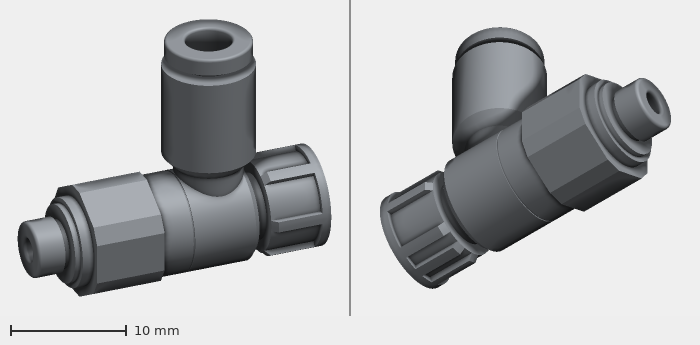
import cadquery as cq
import math


BARREL_R = 4.5
BARREL_LENGTH = 6.2
BARREL_CHAMFER = 0.5
BRANCH_R = 3.05
PORT_R = 4.1
PORT_TOP_Z = 14.8
PORT_BOTTOM_Z = 6.25
CONE_HEIGHT = 1.1
BUSHING_NECK_R = 2.4
BUSHING_NECK_HEIGHT = 0.87
BUSHING_R = 3.85
BUSHING_HEIGHT = 1.5
BUSHING_TOP_Z = PORT_TOP_Z + BUSHING_NECK_HEIGHT + BUSHING_HEIGHT
BUSHING_ROUND = 0.25
TUBE_BORE_R = 2.05

GROOVE_R = 4.4
GROOVE_WIDTH = 0.15
COLLAR_R = BARREL_R
COLLAR_LENGTH = 2.85
HEX_ACROSS_FLATS = 9.6
HEX_ACROSS_CORNERS = 10.14
HEX_LENGTH = 6.3
FLANGE_R = 4.0
FLANGE_LENGTH = 1.0
SEAL_R = 3.5
SEAL_LENGTH = 0.5
UNDERCUT_R = 2.2
UNDERCUT_LENGTH = 0.5
THREAD_R = 2.5
THREAD_LENGTH = 2.5
THREAD_BORE_R = 1.0
THREAD_ROUND = 0.3

STEM_R = 2.95
STEM_LENGTH = 1.1
KNOB_R = BARREL_R
KNOB_CORE_R = 4.0
KNOB_LENGTH = 5.4
KNOB_RIM = 0.8
KNOB_CHAMFER = 0.5
RIB_COUNT = 6
RIB_WIDTH = 1.0
RIB_ANGLES = [index * 360 / RIB_COUNT for index in range(RIB_COUNT)]
POINTER_RIB_ANGLE = 90

BARREL_FRONT_Y = -BARREL_LENGTH / 2
BARREL_BACK_Y = BARREL_LENGTH / 2


def rod(radius, start_y, length):
    """Cylinder on the Y axis that runs from start_y towards +Y."""
    return cq.Workplane("XZ", origin=(0, start_y, 0)).circle(radius).extrude(-length)


def hex_prism(across_flats, start_y, length, turn):
    """Hexagonal prism on the Y axis; with no turn, two corners lie on the X axis."""
    across_points = across_flats / math.cos(math.pi / 6)
    prism = cq.Workplane("XZ", origin=(0, start_y, 0)).polygon(6, across_points).extrude(-length)
    return prism.rotate((0, 0, 0), (0, 1, 0), turn)


def make_elbow():
    barrel = rod(BARREL_R, BARREL_FRONT_Y, BARREL_LENGTH).faces(">Y").chamfer(BARREL_CHAMFER)
    port = (
        cq.Workplane("XZ")
        .lineTo(BRANCH_R, 0)
        .lineTo(BRANCH_R, PORT_BOTTOM_Z - CONE_HEIGHT)
        .lineTo(PORT_R, PORT_BOTTOM_Z)
        .lineTo(PORT_R, PORT_TOP_Z)
        .lineTo(BUSHING_NECK_R, PORT_TOP_Z)
        .lineTo(BUSHING_NECK_R, PORT_TOP_Z + BUSHING_NECK_HEIGHT)
        .lineTo(BUSHING_R, PORT_TOP_Z + BUSHING_NECK_HEIGHT)
        .lineTo(BUSHING_R, BUSHING_TOP_Z)
        .lineTo(0, BUSHING_TOP_Z)
        .close()
        .revolve(360, (0, 0, 0), (0, 1, 0))
    )
    bore_depth = BUSHING_TOP_Z - PORT_BOTTOM_Z
    bore = cq.Workplane("XY", origin=(0, 0, PORT_BOTTOM_Z)).circle(TUBE_BORE_R).extrude(bore_depth)
    port = port.cut(bore).faces(">Z").edges().fillet(BUSHING_ROUND)
    return barrel.union(port)


def make_hex_body():
    groove_y = BARREL_FRONT_Y - GROOVE_WIDTH
    collar_y = groove_y - COLLAR_LENGTH
    hex_y = collar_y - HEX_LENGTH
    flange_y = hex_y - FLANGE_LENGTH
    seal_y = flange_y - SEAL_LENGTH
    undercut_y = seal_y - UNDERCUT_LENGTH
    thread_y = undercut_y - THREAD_LENGTH

    flats = hex_prism(HEX_ACROSS_FLATS, hex_y, HEX_LENGTH, 30)
    trimmed_corners = hex_prism(HEX_ACROSS_CORNERS, hex_y, HEX_LENGTH, 0)
    body = flats.intersect(trimmed_corners)
    body = body.union(rod(COLLAR_R, collar_y, COLLAR_LENGTH))
    body = body.union(rod(GROOVE_R, groove_y, GROOVE_WIDTH))
    body = body.union(rod(FLANGE_R, flange_y, FLANGE_LENGTH))
    body = body.union(rod(SEAL_R, seal_y, SEAL_LENGTH))
    body = body.union(rod(UNDERCUT_R, undercut_y, UNDERCUT_LENGTH))
    body = body.union(rod(THREAD_R, thread_y, THREAD_LENGTH))

    body = body.cut(rod(THREAD_BORE_R, thread_y, hex_y - thread_y))
    return body.faces("<Y").edges().fillet(THREAD_ROUND)


def make_knob():
    front_y = BARREL_BACK_Y + STEM_LENGTH
    ribbed_length = KNOB_LENGTH - KNOB_RIM
    rim = rod(KNOB_R, front_y + ribbed_length, KNOB_RIM)
    core = rod(KNOB_CORE_R, front_y, KNOB_LENGTH)

    outline = rod(KNOB_R, front_y, KNOB_LENGTH).faces("<Y").chamfer(KNOB_CHAMFER)
    bar = cq.Workplane("XY").box(KNOB_R, ribbed_length, RIB_WIDTH, centered=(False, False, True))
    bar = bar.translate((0, front_y, 0))
    knob = core.union(rim)
    for angle in RIB_ANGLES + [POINTER_RIB_ANGLE]:
        turned_bar = bar.rotate((0, 0, 0), (0, 1, 0), angle)
        knob = knob.union(outline.intersect(turned_bar))

    stem = rod(STEM_R, BARREL_BACK_Y, STEM_LENGTH)
    return knob.union(stem)


elbow = make_elbow()
hex_body = make_hex_body()
knob = make_knob()

result = cq.Compound.makeCompound([elbow.val(), hex_body.val(), knob.val()])